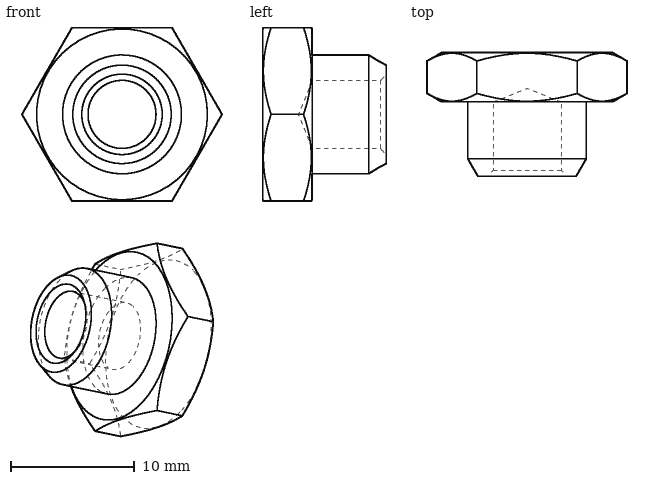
import cadquery as cq
import math

across_corners = 16.17
head_thickness = 4.0
head_chamfer_diameter = 13.8
head_chamfer_angle = 30.0

total_length = 10.0
shank_diameter = 9.6
tip_diameter = 7.95
tip_taper_angle = 30.0

hole_diameter = 5.5
hole_mouth_diameter = 6.5
hole_mouth_angle = 45.0
hole_depth = 6.0
drill_point_angle = 136.0

corner_radius = across_corners / 2
shank_length = total_length - head_thickness


def revolve_about_y(profile):
    """Turn a closed (radius, y) outline once around the Y axis."""
    return cq.Workplane("XY").polyline(profile).close().revolve(360, (0, 0, 0), (0, 1, 0))


def make_head():
    """Hexagon with corners on X, its corners cut back by a cone on both faces."""
    hexagon = (
        cq.Workplane("XZ", origin=(0, total_length, 0))
        .polygon(6, across_corners)
        .extrude(head_thickness)
    )
    face_radius = head_chamfer_diameter / 2
    chamfer_height = (corner_radius - face_radius) * math.tan(math.radians(head_chamfer_angle))
    chamfer_envelope = revolve_about_y([
        (0, shank_length),
        (face_radius, shank_length),
        (corner_radius, shank_length + chamfer_height),
        (corner_radius, total_length - chamfer_height),
        (face_radius, total_length),
        (0, total_length),
    ])
    return hexagon.intersect(chamfer_envelope)


def make_shank():
    """Cylinder with a conical lead-in at the tip."""
    shank_radius = shank_diameter / 2
    tip_radius = tip_diameter / 2
    taper_length = (shank_radius - tip_radius) / math.tan(math.radians(tip_taper_angle))
    return revolve_about_y([
        (0, 0),
        (tip_radius, 0),
        (shank_radius, taper_length),
        (shank_radius, shank_length),
        (0, shank_length),
    ])


def make_hole():
    """Countersunk blind hole ending in a drill cone."""
    hole_radius = hole_diameter / 2
    mouth_radius = hole_mouth_diameter / 2
    mouth_depth = (mouth_radius - hole_radius) / math.tan(math.radians(hole_mouth_angle))
    cone_height = hole_radius / math.tan(math.radians(drill_point_angle / 2))
    return revolve_about_y([
        (0, 0),
        (mouth_radius, 0),
        (hole_radius, mouth_depth),
        (hole_radius, hole_depth),
        (0, hole_depth + cone_height),
    ])


result = make_head().union(make_shank()).cut(make_hole())